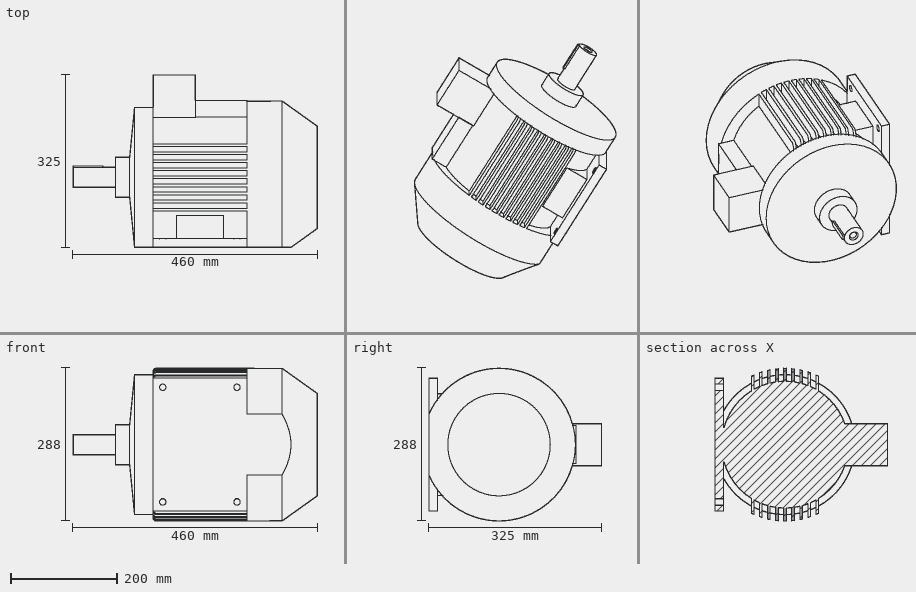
import cadquery as cq
import math


boss_start = 79.5
cone_start = 106.3
flange_start = 115.5
flange_end = 150.5
fins_end = 327.5
cowl_taper_start = 393.8
motor_length = 460.0
body_length = fins_end - flange_end

shaft_radius = 38.0 / 2
boss_radius = 76.0 / 2
flange_radius = 264.0 / 2
core_radius = 119.5
cowl_radius = 288.0 / 2
cowl_rear_radius = 193.0 / 2

countersink_radius = 18.0 / 2
countersink_depth = 3.0
thread_radius = 13.0 / 2
thread_depth = 27.5
drill_radius = 9.0 / 2
drill_depth = 37.0
drill_tip_angle = 120.0

key_length = 56.0
key_width = 10.0
key_top = 21.5

fin_count = 9
fin_pitch = 15.0
fin_thickness = 5.0
fin_corner_radius = 6.0

foot_face = -flange_radius
foot_thickness = 16.5
foot_height = 250.2
foot_hole_diameter = 12.0
foot_hole_first_x = 169.0
foot_hole_spacing_x = 140.0
foot_hole_spacing_z = 216.0
pad_length = 89.0
pad_height = 192.0

box_length = 80.0
box_height = 79.5
box_top = 193.0
rail_top = 145.0
rail_bottom = 114.0


def revolve_about_shaft(profile):
    """Turn an (x, radius) profile around the X axis."""
    return profile.close().revolve(360, (0, 0, 0), (1, 0, 0))


def block(x_range, y_range, height):
    """Box spanning the given X and Y ranges, centred on Z = 0."""
    length = x_range[1] - x_range[0]
    width = y_range[1] - y_range[0]
    corner = (x_range[0], y_range[0], -height / 2)
    return cq.Workplane("XY").box(length, width, height, centered=False).translate(corner)


def turned_body():
    """Shaft, boss, flange, core and cowl, with the cowl cut flush with the foot."""
    body = revolve_about_shaft(
        cq.Workplane("XY")
        .moveTo(0, 0)
        .lineTo(0, shaft_radius)
        .lineTo(boss_start, shaft_radius)
        .lineTo(boss_start, boss_radius)
        .lineTo(cone_start, boss_radius)
        .lineTo(flange_start, flange_radius)
        .lineTo(flange_end, flange_radius)
        .lineTo(flange_end, core_radius)
        .lineTo(fins_end, core_radius)
        .lineTo(fins_end, cowl_radius)
        .lineTo(cowl_taper_start, cowl_radius)
        .lineTo(motor_length, cowl_rear_radius)
        .lineTo(motor_length, 0)
    )
    below_foot = block((fins_end, motor_length), (-cowl_radius, foot_face), 2 * cowl_radius)
    return body.cut(below_foot)


def cooling_fins():
    """Parallel upright fins trimmed to the cowl radius, rounded at the front corner."""
    envelope = revolve_about_shaft(
        cq.Workplane("XY")
        .moveTo(flange_end, 0)
        .lineTo(flange_end, cowl_radius - fin_corner_radius)
        .radiusArc((flange_end + fin_corner_radius, cowl_radius), fin_corner_radius)
        .lineTo(fins_end, cowl_radius)
        .lineTo(fins_end, 0)
    )
    slabs = (
        cq.Workplane("XY")
        .center(flange_end + body_length / 2, 0)
        .rarray(4.5, fin_pitch, 1, fin_count)
        .rect(body_length, fin_thickness)
        .extrude(cowl_radius, both=True)
    )
    return slabs.intersect(envelope)


def foot():
    """Mounting plate with four through holes, carried on a pad."""
    plate_back = foot_face + foot_thickness
    middle_x = (flange_end + fins_end) / 2
    plate = block((flange_end, fins_end), (foot_face, plate_back), foot_height)
    holes = (
        cq.Workplane("XZ", origin=(foot_hole_first_x + foot_hole_spacing_x / 2, plate_back, 0))
        .rarray(foot_hole_spacing_x, foot_hole_spacing_z, 2, 2)
        .circle(foot_hole_diameter / 2)
        .extrude(foot_thickness)
    )
    pad = block((middle_x - pad_length / 2, middle_x + pad_length / 2), (plate_back, 0), pad_height)
    return plate.cut(holes).union(pad)


def terminal_box():
    """Terminal box on the +Y side, with a rail running back to the cowl."""
    box = block((flange_end, flange_end + box_length), (0, box_top), box_height)
    rail_height = 2 * math.sqrt(core_radius**2 - rail_bottom**2)
    rail = block((flange_end, fins_end), (0, rail_top), rail_height)
    return box.union(rail)


def shaft_key():
    """Round-ended key standing out of the shaft on the +Y side."""
    return (
        cq.Workplane("XZ", origin=(key_length / 2, 0, 0))
        .slot2D(key_length, key_width)
        .extrude(-key_top)
    )


def centre_hole():
    """Countersunk two-step blind hole with a drill-point bottom."""
    tip_length = drill_radius / math.tan(math.radians(drill_tip_angle / 2))
    return revolve_about_shaft(
        cq.Workplane("XY")
        .moveTo(0, 0)
        .lineTo(0, countersink_radius)
        .lineTo(countersink_depth, thread_radius)
        .lineTo(thread_depth, thread_radius)
        .lineTo(thread_depth, drill_radius)
        .lineTo(drill_depth, drill_radius)
        .lineTo(drill_depth + tip_length, 0)
    )


result = (
    turned_body()
    .union(cooling_fins())
    .union(foot())
    .union(terminal_box())
    .union(shaft_key())
    .cut(centre_hole())
)